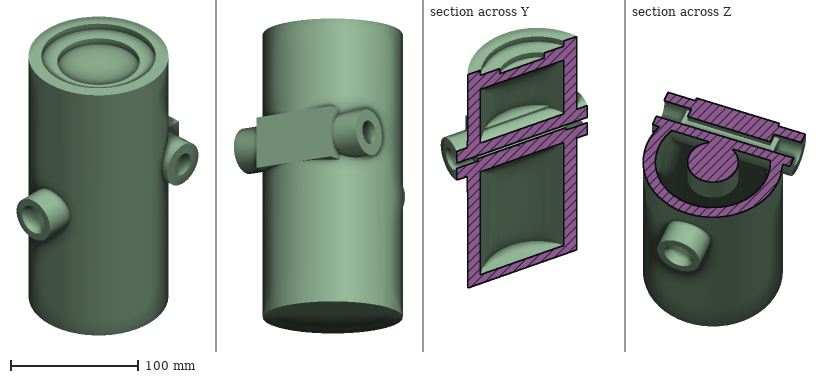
import cadquery as cq

height = 228.5
body_radius = 55.0
cavity_radius = 45.0
wall = body_radius - cavity_radius

recess_radius = cavity_radius
inner_recess_radius = 32.5
recess_step = 5.5
recess_floor = height - recess_step
inner_recess_floor = recess_floor - recess_step
cavity_top = inner_recess_floor - wall

pipe_radius = 18.0

front_reach = 75.0
front_bore_radius = 12.0
front_height = 110.0

cross_reach = 58.0
cross_bore_radius = 9.4
cross_height = 135.0
cross_y = 35.0

block_width = 70.0
block_height = 40.7
block_depth = body_radius - cross_y

sill_overhang = 3.9
sill_reach = block_width / 2 + sill_overhang

post_radius = 20.0
post_bottom = 120.2


def upright(radius, bottom, top):
    """Cylinder on the Z axis between two heights."""
    return cq.Workplane("XY").workplane(offset=bottom).circle(radius).extrude(top - bottom)


def along_x(radius, start, end):
    """Cylinder on the cross pipe axis between two X positions."""
    plane = cq.Workplane("YZ", origin=(start, cross_y, cross_height))
    return plane.circle(radius).extrude(end - start)


def along_front(radius):
    """Cylinder on the front stub axis, from the drum axis to the stub end."""
    plane = cq.Workplane("XZ", origin=(0, 0, front_height))
    return plane.circle(radius).extrude(front_reach)


def make_housing():
    """Hollow drum with the stepped recess and the bored front stub."""
    drum = upright(body_radius, 0, height).union(along_front(pipe_radius))
    drum = drum.cut(upright(cavity_radius, wall, cavity_top))
    drum = drum.cut(upright(recess_radius, recess_floor, height))
    drum = drum.cut(upright(inner_recess_radius, inner_recess_floor, recess_floor))
    return drum.cut(along_front(front_bore_radius))


def make_bore_sill():
    """Half-round sill filling the lower half of the cross bore along its middle."""
    lower_half = cq.Workplane("XY", origin=(0, cross_y, cross_height - cross_bore_radius)).box(
        2 * sill_reach, 2 * cross_bore_radius, cross_bore_radius, centered=(True, True, False)
    )
    return along_x(cross_bore_radius, -sill_reach, sill_reach).intersect(lower_half)


def make_block():
    """Solid rectangular block reaching the back of the drum."""
    return cq.Workplane("XY", origin=(0, cross_y, cross_height)).box(
        block_width, block_depth, block_height, centered=(True, False, True)
    )


result = make_housing().union(along_x(pipe_radius, -cross_reach, cross_reach))
result = result.cut(along_x(cross_bore_radius, -cross_reach, cross_reach))
result = result.union(make_block()).union(make_bore_sill())
result = result.union(upright(post_radius, post_bottom, cavity_top))